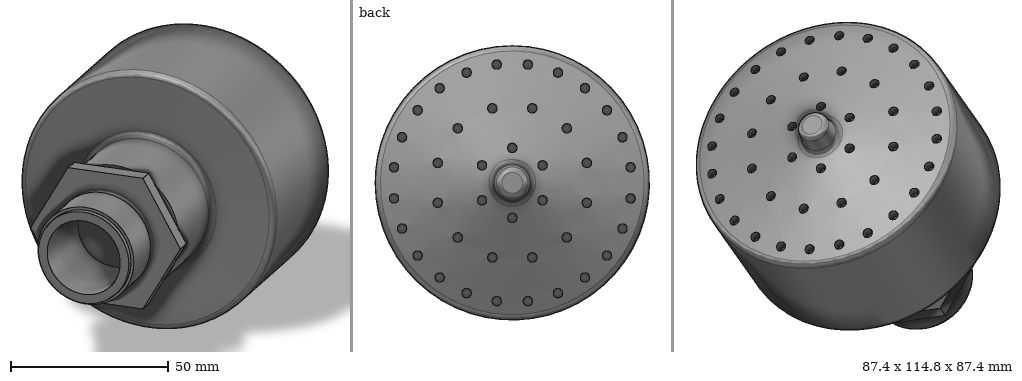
import cadquery as cq
import math

total_length = 114.8

tail_radius = 31.0 / 2
thread_radius = 33.0 / 2
tail_end = 1.8
groove_start = 16.1
groove_radius = 1.3
hex_start = groove_start + 2 * groove_radius
hex_thickness = 5.0
hex_across_flats = 44.5

neck_radius = 44.3 / 2
neck_start = 26.3
head_radius = 87.4 / 2
front_cone_start = 53.3
front_cone_end = 54.5
back_cone_start = 101.6
back_cone_end = 106.7
head_fillet = 2.0
neck_fillet = 2.0

knob_base_radius = 6.0
knob_tip_radius = 4.8
knob_base_fillet = 2.0
knob_tip_fillet = 1.7

bore_radius = 25.0 / 2
bore_depth = neck_start

hole_diameter = 3.0
hole_depth = 3.5
hole_rings = [(6, 11.1), (12, 24.6), (24, 38.0)]


def edges_at(radius, height):
    """Select the circular edge of the given radius centred on the axis at Y = height."""
    margin = 0.1
    reach = radius + margin
    return cq.selectors.BoxSelector(
        (-reach, height - margin, -reach),
        (reach, height + margin, reach),
        boundingbox=True,
    )


def turned_body():
    """Revolve the half outline and round its corners."""
    body = (
        cq.Workplane("XY")
        .lineTo(tail_radius, 0)
        .lineTo(tail_radius, tail_end)
        .lineTo(thread_radius, tail_end)
        .lineTo(thread_radius, groove_start)
        .threePointArc(
            (thread_radius - groove_radius, groove_start + groove_radius),
            (thread_radius, hex_start),
        )
        .lineTo(thread_radius, neck_start)
        .lineTo(neck_radius, neck_start)
        .lineTo(neck_radius, front_cone_start)
        .lineTo(head_radius, front_cone_end)
        .lineTo(head_radius, back_cone_start)
        .lineTo(knob_base_radius, back_cone_end)
        .lineTo(knob_tip_radius, total_length)
        .lineTo(0, total_length)
        .close()
        .revolve(360, (0, 0, 0), (0, 1, 0))
    )
    corners = [
        (neck_radius, front_cone_start, neck_fillet),
        (head_radius, front_cone_end, head_fillet),
        (head_radius, back_cone_start, head_fillet),
        (knob_base_radius, back_cone_end, knob_base_fillet),
        (knob_tip_radius, total_length, knob_tip_fillet),
    ]
    for radius, height, fillet in corners:
        body = body.edges(edges_at(radius, height)).fillet(fillet)
    return body


def plane_at(height):
    """Work plane across the axis at Y = height, with +Y as its normal."""
    return cq.Workplane(cq.Plane((0, height, 0), xDir=(1, 0, 0), normal=(0, 1, 0)))


def hexagon():
    """Hexagonal flange with two corners on the X axis."""
    across_corners = hex_across_flats / math.cos(math.pi / 6)
    return plane_at(hex_start).polygon(6, across_corners).extrude(hex_thickness)


def bore():
    return plane_at(0).circle(bore_radius).extrude(bore_depth)


def hole_ring(count, ring_radius):
    """Ring of blind holes, turned half a pitch away from the X axis."""
    cone_slope = (back_cone_end - back_cone_start) / (head_radius - knob_base_radius)
    surface_height = back_cone_start + (head_radius - ring_radius) * cone_slope
    return (
        plane_at(surface_height - hole_depth)
        .polarArray(ring_radius, 180 / count, 360, count)
        .circle(hole_diameter / 2)
        .extrude(2 * hole_depth)
    )


result = turned_body().union(hexagon()).cut(bore())
for hole_count, hole_ring_radius in hole_rings:
    result = result.cut(hole_ring(hole_count, hole_ring_radius))